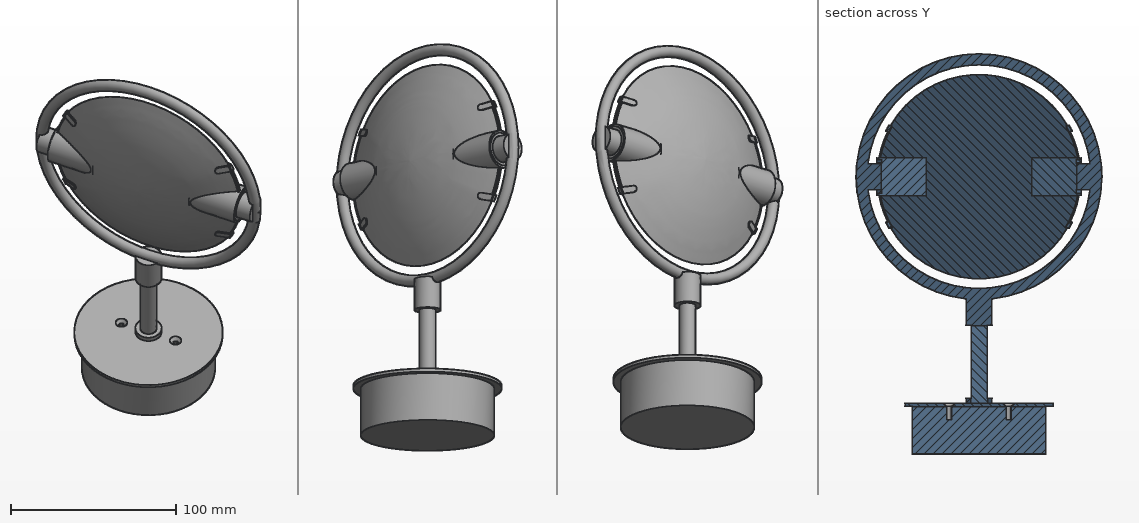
import cadquery as cq
import math

cup_diameter = 81
cup_height = 29
plate_diameter = 90
plate_thickness = 2
plate_top = cup_height + plate_thickness
screw_spacing = 36
screw_hole_diameter = 3
screw_head_diameter = 7
screw_head_angle = 90
screw_pilot_diameter = 2.46
screw_pilot_depth = 8
foot_diameter = 16
foot_height = 3
stem_diameter = 10

overall_height = 242.5
ring_outer_diameter = 149
ring_tube_diameter = 7
ring_radius = (ring_outer_diameter - ring_tube_diameter) / 2
ring_center_z = overall_height - ring_outer_diameter / 2
fitting_diameter = 16
collar_top = ring_center_z - ring_radius
collar_length = 19
collar_bottom = collar_top - collar_length

lens_radius = 62
lens_half_thickness = 16.1
dome_mid_radius = 32.3
dome_mid_height = 11.6

socket_diameter = 22.8
socket_outer_x = lens_radius
socket_inner_x = 32
band_inner_radius = 61
band_outer_radius = 61.6
band_half_thickness = 1
band_half_angle = 28
clip_width = 4
clip_corner_radius = 1.8
clip_length = 20
clip_tip_x = 46.6
clip_tip_z = 27.2
clip_slope = 14
clip_height = 1.1
clip_end_radius = 62.8

bushing_outer_diameter = 20
bushing_inner_diameter = 16.3
bushing_length = 3
knob_inner_x = socket_outer_x - bushing_length


def rod_z(diameter, z_start, z_end):
    return cq.Workplane("XY", origin=(0, 0, z_start)).circle(diameter / 2).extrude(z_end - z_start)


def rod_x(diameter, x_start, x_end):
    """Rod on the pivot axis."""
    pivot_plane = cq.Workplane("YZ", origin=(x_start, 0, ring_center_z))
    return pivot_plane.circle(diameter / 2).extrude(x_end - x_start)


def lens_plane():
    """Middle plane of the ring and the lens."""
    return cq.Workplane("XZ", origin=(0, 0, ring_center_z))


def lens_disc(radius, half_thickness):
    return lens_plane().circle(radius).extrude(half_thickness, both=True)


def mirrored(body):
    return body.mirror("YZ")


def make_cup():
    cup = rod_z(cup_diameter, 0, cup_height)
    top = cup.faces(">Z").workplane()
    return top.rarray(screw_spacing, 1, 2, 1).hole(screw_pilot_diameter, screw_pilot_depth)


def make_plate():
    plate = rod_z(plate_diameter, cup_height, plate_top)
    top = plate.faces(">Z").workplane()
    screws = top.rarray(screw_spacing, 1, 2, 1)
    return screws.cskHole(screw_hole_diameter, screw_head_diameter, screw_head_angle)


def make_foot():
    foot = rod_z(foot_diameter, plate_top, plate_top + foot_height)
    return foot.cut(make_stem())


def make_stem():
    return rod_z(stem_diameter, plate_top, collar_bottom)


def make_frame():
    center = cq.Vector(0, 0, ring_center_z)
    ring = cq.Solid.makeTorus(ring_radius, ring_tube_diameter / 2, center, cq.Vector(0, 1, 0))
    collar = rod_z(fitting_diameter, collar_bottom, collar_top)
    knob = rod_x(fitting_diameter, -ring_radius, -knob_inner_x)
    return cq.Workplane(ring).union(collar).union(knob).union(mirrored(knob))


def make_domes(lift):
    """Both domes with their faces moved outward by `lift`, on a straight rim of that half-height."""
    half_profile = (
        cq.Workplane("XY")
        .lineTo(0, lens_half_thickness + lift)
        .threePointArc((dome_mid_radius, dome_mid_height + lift), (lens_radius, lift))
    )
    if lift > 0:
        half_profile = half_profile.lineTo(lens_radius, 0)
    back = half_profile.close().revolve(360, (0, 0, 0), (0, 1, 0))
    return back.union(back.mirror("XZ")).translate((0, 0, ring_center_z))


def make_socket():
    return rod_x(socket_diameter, -socket_outer_x, -socket_inner_x)


def make_band(outer_radius):
    """Arc on the left of the lens rim."""
    reach = 2 * lens_radius
    spread = reach * math.tan(math.radians(band_half_angle))
    wedge = (
        lens_plane()
        .polyline([(0, 0), (-reach, spread), (-reach, -spread)])
        .close()
        .extrude(band_half_thickness, both=True)
    )
    arc = lens_disc(outer_radius, band_half_thickness).cut(lens_disc(band_inner_radius, band_half_thickness))
    return arc.intersect(wedge)


def make_clips():
    """Upper and lower clip on the left, each gripping the lens on both faces."""
    shell = make_domes(clip_height).union(lens_disc(clip_end_radius, clip_height))
    shell = shell.cut(make_domes(0).intersect(lens_disc(band_inner_radius, lens_half_thickness)))
    strip = (
        cq.Workplane("XZ")
        .center(-clip_length / 2, 0)
        .rect(clip_length, clip_width)
        .extrude(lens_half_thickness, both=True)
        .edges("|Y and >X")
        .fillet(clip_corner_radius)
        .rotate((0, 0, 0), (0, 1, 0), clip_slope)
        .translate((-clip_tip_x, 0, clip_tip_z))
    )
    strips = strip.union(strip.mirror("XY")).translate((0, 0, ring_center_z))
    return shell.intersect(strips)


def make_bracket():
    bracket = make_socket().union(make_band(band_outer_radius)).union(make_clips())
    bearing_seat = rod_x(bushing_outer_diameter, -socket_outer_x, -knob_inner_x)
    return bracket.cut(bearing_seat)


def make_bushing():
    outside = rod_x(bushing_outer_diameter, -socket_outer_x, -knob_inner_x)
    bore = rod_x(bushing_inner_diameter, -socket_outer_x, -knob_inner_x)
    return outside.cut(bore)


def make_lens():
    lens = make_domes(0)
    notch = make_socket().union(make_band(clip_end_radius)).union(make_clips())
    return lens.cut(notch).cut(mirrored(notch))


cup = make_cup()
plate = make_plate()
foot = make_foot()
stem = make_stem()
frame = make_frame()
lens = make_lens()
bracket = make_bracket()
bushing = make_bushing()

bodies = [cup, plate, foot, stem, frame, lens]
for side_part in (bracket, bushing):
    bodies += [side_part, mirrored(side_part)]

result = cq.Compound.makeCompound([body.val() for body in bodies])